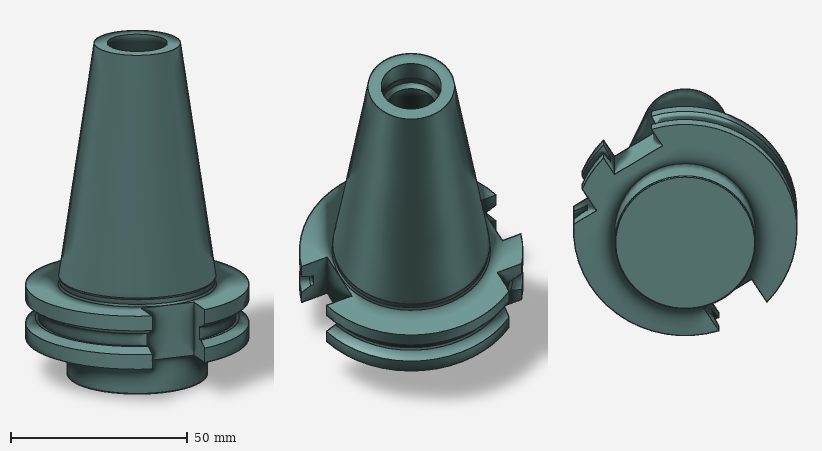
import cadquery as cq
import math

total_height = 98.25
flange_bottom = 11.0
flange_top = 26.7
lower_rim_top = 15.3
groove_bottom = 16.9
groove_top = 20.6
upper_rim_bottom = 22.4
neck_bottom = 27.3
neck_top = 28.7
taper_bottom = 29.3

nose_diameter = 40.0
flange_diameter = 63.5
groove_diameter = 56.2
groove_wall_angle = 30.0
neck_diameter = 44.0
neck_foot_diameter = 45.0
taper_top_diameter = 24.6
taper_ratio = 7 / 24
taper_base_diameter = taper_top_diameter + taper_ratio * (total_height - taper_bottom)
nose_chamfer = 0.3

mouth_diameter = 17.0
mouth_depth = 6.6
relief_diameter = 17.4
relief_depth = 8.5
hole_diameter = 14.0
hole_depth = 29.5
cone_angle = 140.0

slot_width = 16.1
left_slot_floor = 24.9
right_slot_floor = 22.6
notch_x = 18.4
notch_y = 18.2


def revolve_profile(points):
    """Revolve (radius, height) points around the Z axis."""
    return cq.Workplane("XZ").polyline(points).close().revolve(360, (0, 0, 0), (0, 1, 0))


def holder_body():
    """Nose, grooved flange, neck and taper as one turned body."""
    nose_radius = nose_diameter / 2
    flange_radius = flange_diameter / 2
    groove_radius = groove_diameter / 2
    neck_radius = neck_diameter / 2
    taper_base_radius = taper_base_diameter / 2
    wall_slope = math.tan(math.radians(groove_wall_angle))
    lower_ledge_radius = flange_radius - (groove_bottom - lower_rim_top) / wall_slope
    upper_ledge_radius = flange_radius - (upper_rim_bottom - groove_top) / wall_slope
    return revolve_profile([
        (0, 0),
        (nose_radius - nose_chamfer, 0),
        (nose_radius, nose_chamfer),
        (nose_radius, flange_bottom),
        (flange_radius, flange_bottom),
        (flange_radius, lower_rim_top),
        (lower_ledge_radius, groove_bottom),
        (groove_radius, groove_bottom),
        (groove_radius, groove_top),
        (upper_ledge_radius, groove_top),
        (flange_radius, upper_rim_bottom),
        (flange_radius, flange_top),
        (neck_foot_diameter / 2, flange_top),
        (neck_radius, neck_bottom),
        (neck_radius, neck_top),
        (taper_base_radius, taper_bottom),
        (taper_top_diameter / 2, total_height),
        (0, total_height),
    ])


def stepped_bore():
    """Mouth, slightly wider relief and hole with conical entry and bottom."""
    mouth_radius = mouth_diameter / 2
    relief_radius = relief_diameter / 2
    hole_radius = hole_diameter / 2
    cone_slope = 1 / math.tan(math.radians(cone_angle / 2))
    entry_length = (relief_radius - hole_radius) * cone_slope
    point_length = hole_radius * cone_slope
    return revolve_profile([
        (0, total_height),
        (mouth_radius, total_height),
        (mouth_radius, total_height - mouth_depth),
        (relief_radius, total_height - mouth_depth),
        (relief_radius, total_height - relief_depth),
        (hole_radius, total_height - relief_depth - entry_length),
        (hole_radius, total_height - hole_depth),
        (0, total_height - hole_depth - point_length),
    ])


def flange_cutter(x_min, x_max, y_min, y_max):
    """Rectangular block as tall as the flange."""
    return cq.Workplane("XY").box(
        x_max - x_min, y_max - y_min, flange_top - flange_bottom, centered=False
    ).translate((x_min, y_min, flange_bottom))


left_slot = flange_cutter(-flange_diameter, -left_slot_floor, -slot_width / 2, slot_width / 2)
right_slot = flange_cutter(right_slot_floor, flange_diameter, -slot_width / 2, slot_width / 2)
corner_notch = flange_cutter(-flange_diameter, -notch_x, notch_y, flange_diameter)

result = holder_body().cut(stepped_bore())
for cutter in (left_slot, right_slot, corner_notch):
    result = result.cut(cutter)